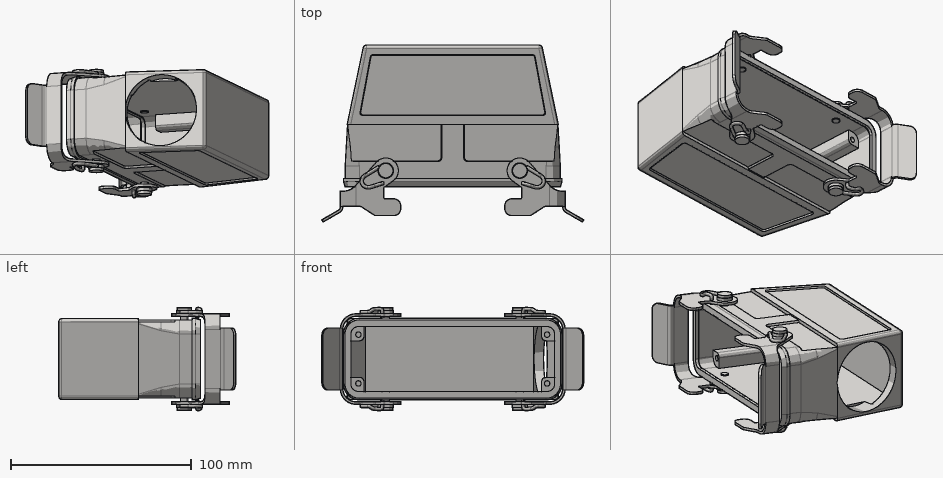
import cadquery as cq
import math


hood_height = 78.6
step_y = 34.5
block_half_z = 22.5
block_base_half_x = 58.5
block_top_half_x = 49.3
block_edge_radius = 2.0
skirt_half_x = 59.6
skirt_half_z = 21.7
skirt_corner_radius = 7.9
collar_y = 11.7
blend_middle_y = 22.0
blend_middle_radius = 6.0
blend_top_half_x = 58.3
blend_top_radius = 2.2

flange_overhang = 0.9
flange_top_y = 4.8
flange_taper_y = 2.9

mouth_half_x = 56.4
mouth_half_z = 18.0
mouth_corner_radius = 4.3
mouth_lip = 2.0
lip_undercut = 0.6
cavity_half_x = mouth_half_x + lip_undercut
cavity_half_z = mouth_half_z + lip_undercut
cavity_corner_radius = mouth_corner_radius + lip_undercut
cavity_end_y = 75.0
cavity_end_left_x = -48.2
cavity_end_right_x = 44.6
entry_ledge_y = 33.0
entry_ledge_x = 52.3
entry_diameter = 40.0
entry_center_y = 54.0
entry_reach = 12.0
post_inner_x = 49.2
post_inner_z = 10.1
post_corner_radius = 2.4
post_start_y = 11.0
screw_x = 52.2
screw_z = 13.5
screw_diameter = 3.0
screw_depth = 15.0

pad_floor_z = 20.5
pad_inner_x = 6.5
pad_start_y = 14.4
pad_corner_radius = 2.0
panel_depth = 1.0
panel_low_y = 39.9
panel_high_y = 72.9
panel_low_half_x = 51.2
panel_high_half_x = 45.1
panel_corner_radius = 1.2
recess_draft = 20.0

sheet = 1.5
lever_half_z = 25.1
lever_end_x = -62.3
lever_corner_radius = 8.8
pivot_x = -37.1
pivot_y = 9.05
eye_radius = 7.0
bail_low_y = -10.7
bail_high_y = -2.3
hook_low_y = -15.9
hook_high_y = -6.5
hook_tip_x = -28.7
hook_tip_radius = 4.0
hook_back_x = -43.1
hook_back_radius = 1.5
cheek_low_x = -51.0
cheek_low_radius = 3.0
cheek_high_x = -53.5
cheek_high_y = 1.1
eye_entry_angle = math.radians(135)
eye_exit_angle = math.radians(-58)
throat_top_y = -0.3
throat_x = -38.1
throat_radius = 0.7
tab_half_z = 17.2
tab_end_x = -72.51
tab_end_y = -19.46
tab_angle = math.radians(30)
tab_corner_radius = 4.0
tab_bend_radius = 2.2

pin_diameter = 4.3
pin_inner_z = 18.0
pin_seat_diameter = 8.6
pin_seat_top_z = 26.85
pin_head_diameter = 8.0
pin_head_top_z = 28.4
wire_diameter = 1.97
wire_radius = wire_diameter / 2
wire_seat_depth = 0.1
wire_low_z = lever_half_z + wire_radius - wire_seat_depth
wire_high_z = 27.57
wire_tip_z = 22.75
wire_start = (-40.7, 11.1)
wire_turn_start = (-48.8, 6.1)
wire_turn_end = (-47.2, -0.1)
wire_hump = (-43.2, 0.7)
wire_drop = (-38.9, 2.0)


def rounded_bar(half_x, half_z, radius, y_start, y_end):
    """Bar along Y with a rounded rectangular section."""
    bar = cq.Workplane("XY").box(2 * half_x, y_end - y_start, 2 * half_z)
    return bar.edges("|Y").fillet(radius).translate((0, (y_start + y_end) / 2, 0))


def blend(lower, upper):
    """Straight blend between two sections, each given as (y, half_x, half_z, corner radius)."""
    sketches = []
    for y, half_x, half_z, radius in (lower, upper):
        sketch = cq.Sketch().rect(2 * half_x, 2 * half_z).vertices().fillet(radius)
        sketches.append(sketch.moved(cq.Location(cq.Vector(0, 0, -y))))
    return cq.Workplane("XZ").placeSketch(*sketches).loft(ruled=True)


def slab(points, z_low, z_high):
    """Closed outline in the XY plane, extruded between two heights."""
    return cq.Workplane("XY", origin=(0, 0, z_low)).polyline(points).close().extrude(z_high - z_low)


def both_z(body):
    return body.union(body.mirror("XY"))


def both_x(body):
    return body.union(body.mirror("YZ"))


def make_upper_block():
    outline = [
        (-block_base_half_x, step_y),
        (block_base_half_x, step_y),
        (block_top_half_x, hood_height),
        (-block_top_half_x, hood_height),
    ]
    block = slab(outline, -block_half_z, block_half_z)
    return block.edges("not <Y").fillet(block_edge_radius)


def make_skirt():
    foot = (collar_y, skirt_half_x, skirt_half_z, skirt_corner_radius)
    middle_fraction = (blend_middle_y - collar_y) / (step_y - collar_y)
    middle_half_x = skirt_half_x + middle_fraction * (blend_top_half_x - skirt_half_x)
    middle = (blend_middle_y, middle_half_x, skirt_half_z, blend_middle_radius)
    top = (step_y, blend_top_half_x, skirt_half_z, blend_top_radius)
    collar = rounded_bar(skirt_half_x, skirt_half_z, skirt_corner_radius, 0, collar_y)
    return collar.union(blend(foot, middle)).union(blend(middle, top))


def make_flange():
    half_x = skirt_half_x + flange_overhang
    half_z = skirt_half_z + flange_overhang
    radius = skirt_corner_radius + flange_overhang
    face = (0, skirt_half_x, skirt_half_z, skirt_corner_radius)
    rim = (flange_taper_y, half_x, half_z, radius)
    return blend(face, rim).union(rounded_bar(half_x, half_z, radius, flange_taper_y, flange_top_y))


def make_cavity():
    """Mouth and inner space with sloping end walls and the four screw posts left standing in its corners."""
    outline = [
        (-cavity_half_x, mouth_lip),
        (cavity_half_x, mouth_lip),
        (cavity_half_x, entry_ledge_y),
        (entry_ledge_x, entry_ledge_y),
        (cavity_end_right_x, cavity_end_y),
        (cavity_end_left_x, cavity_end_y),
        (-cavity_half_x, entry_ledge_y),
    ]
    space = slab(outline, -cavity_half_z, cavity_half_z)
    space = space.intersect(
        rounded_bar(cavity_half_x, cavity_half_z, cavity_corner_radius, mouth_lip, cavity_end_y)
    )
    post = cq.Workplane("XY").box(
        cavity_half_x - post_inner_x,
        cavity_end_y - post_start_y,
        cavity_half_z - post_inner_z,
        centered=False,
    )
    post = post.edges("|Y and <X and <Z").fillet(post_corner_radius)
    post = post.translate((post_inner_x, post_start_y, post_inner_z))
    mouth = rounded_bar(mouth_half_x, mouth_half_z, mouth_corner_radius, 0, mouth_lip)
    return space.cut(both_x(both_z(post))).union(mouth)


def make_screw_holes():
    hole = cq.Workplane("XZ", origin=(screw_x, post_start_y, screw_z))
    hole = hole.circle(screw_diameter / 2).extrude(-screw_depth)
    return both_x(both_z(hole))


def make_cable_entry():
    """Round opening square to the sloping +X wall."""
    rise = hood_height - step_y
    run = block_base_half_x - block_top_half_x
    wall_x = block_base_half_x - run * (entry_center_y - step_y) / rise
    plane = cq.Plane(origin=(wall_x, entry_center_y, 0), xDir=(0, 0, 1), normal=(rise, run, 0))
    return cq.Workplane(plane).circle(entry_diameter / 2).extrude(entry_reach, both=True)


def make_recess(points, corner_radius, floor_z, mouth_z):
    """Drafted recess on both broad faces, outlined at its floor and widening toward its mouth."""
    outline = cq.Sketch().polygon(points + points[:1]).vertices().fillet(corner_radius)
    recess = cq.Workplane("XY", origin=(0, 0, floor_z)).placeSketch(outline)
    return both_z(recess.extrude(mouth_z - floor_z, taper=-recess_draft))


def make_pads():
    """Flats beside the levers; they run out through the ends and the top of the skirt."""
    outer_x = skirt_half_x + pad_corner_radius
    outer_y = step_y + pad_corner_radius
    outline = [
        (pad_inner_x, pad_start_y),
        (outer_x, pad_start_y),
        (outer_x, outer_y),
        (pad_inner_x, outer_y),
    ]
    return both_x(make_recess(outline, pad_corner_radius, pad_floor_z, skirt_half_z))


def make_panels():
    """Shallow trapezoid panels on the two broad faces of the upper block."""
    outline = [
        (-panel_low_half_x, panel_low_y),
        (panel_low_half_x, panel_low_y),
        (panel_high_half_x, panel_high_y),
        (-panel_high_half_x, panel_high_y),
    ]
    return make_recess(outline, panel_corner_radius, block_half_z - panel_depth, block_half_z)


def make_hood():
    skirt = make_skirt().cut(make_pads())
    shell = make_upper_block().cut(make_panels()).union(skirt).union(make_flange())
    return shell.cut(make_cavity()).cut(make_screw_holes()).cut(make_cable_entry())


def eye_point(angle):
    return (pivot_x + eye_radius * math.cos(angle), pivot_y + eye_radius * math.sin(angle))


def make_lever_outline():
    """Solid with the lever's side outline: pivot eye, hook and bail."""
    body = (
        cq.Workplane("XY", origin=(0, 0, -lever_half_z))
        .moveTo(lever_end_x, bail_low_y)
        .lineTo(lever_end_x, bail_high_y)
        .lineTo(lever_end_x + sheet, bail_high_y)
        .tangentArcPoint((cheek_high_x, cheek_high_y), relative=False)
        .lineTo(*eye_point(eye_entry_angle))
        .threePointArc(eye_point((eye_entry_angle + eye_exit_angle) / 2), eye_point(eye_exit_angle))
        .lineTo(throat_x, throat_top_y)
        .lineTo(throat_x, hook_high_y)
        .lineTo(hook_tip_x, hook_high_y)
        .lineTo(hook_tip_x, hook_low_y)
        .lineTo(hook_back_x, hook_low_y)
        .lineTo(cheek_low_x, bail_low_y)
        .close()
        .extrude(2 * lever_half_z)
    )
    rounded_corners = [
        (throat_x, throat_top_y, throat_radius),
        (throat_x, hook_high_y, throat_radius),
        (hook_tip_x, hook_high_y, hook_tip_radius),
        (hook_tip_x, hook_low_y, hook_tip_radius),
        (hook_back_x, hook_low_y, hook_back_radius),
        (cheek_low_x, bail_low_y, cheek_low_radius),
    ]
    for x, y, radius in rounded_corners:
        body = body.edges("|Z").edges(cq.NearestToPointSelector((x, y, 0))).fillet(radius)
    return body


def make_tab():
    """Finger tab bent outward from the bail."""
    slope = math.tan(tab_angle)
    along_x = math.cos(tab_angle)
    along_y = math.sin(tab_angle)
    tab_turn = math.pi / 2 - tab_angle
    end_dx = sheet * along_y
    end_dy = sheet * along_x
    inner_x = lever_end_x + sheet
    outer_bend_y = tab_end_y + end_dy + slope * (lever_end_x - tab_end_x)
    inner_bend_y = tab_end_y + slope * (inner_x - tab_end_x - end_dx)
    outer_reach = tab_bend_radius * math.tan(tab_turn / 2)
    inner_reach = (tab_bend_radius + sheet) * math.tan(tab_turn / 2)
    tab = (
        cq.Workplane("XY", origin=(0, 0, -tab_half_z))
        .moveTo(lever_end_x, bail_low_y)
        .lineTo(lever_end_x, outer_bend_y + outer_reach)
        .tangentArcPoint((-outer_reach * along_x, -outer_reach * (1 + along_y)))
        .lineTo(tab_end_x, tab_end_y + end_dy)
        .lineTo(tab_end_x + end_dx, tab_end_y)
        .lineTo(inner_x - inner_reach * along_x, inner_bend_y - inner_reach * along_y)
        .tangentArcPoint((inner_reach * along_x, inner_reach * (1 + along_y)))
        .lineTo(inner_x, bail_low_y)
        .close()
        .extrude(2 * tab_half_z)
    )
    end_corners = tab.faces("<X").edges("not |Z")
    return end_corners.fillet(tab_corner_radius)


def make_lever():
    half_x = -lever_end_x
    y_range = (hook_low_y, pivot_y + eye_radius)
    outside = rounded_bar(half_x, lever_half_z, lever_corner_radius, *y_range)
    inside = rounded_bar(half_x - sheet, lever_half_z - sheet, lever_corner_radius - sheet, *y_range)
    strap = outside.cut(inside)
    return strap.intersect(make_lever_outline()).union(make_tab())


def make_pin():
    pin = cq.Workplane("XY", origin=(pivot_x, pivot_y, pin_inner_z))
    pin = pin.circle(pin_diameter / 2).extrude(pin_head_top_z - pin_inner_z)
    for diameter, z_low, z_high in (
        (pin_seat_diameter, lever_half_z, pin_seat_top_z),
        (pin_head_diameter, pin_seat_top_z, pin_head_top_z),
    ):
        disc = cq.Workplane("XY", origin=(pivot_x, pivot_y, z_low)).circle(diameter / 2)
        pin = pin.union(disc.extrude(z_high - z_low))
    return pin


def make_wire():
    """Retaining wire: straight leg from the pin, a round turn, then a humped leg hooked into the lever."""
    start = cq.Vector(*wire_start, wire_low_z)
    turn_start = cq.Vector(*wire_turn_start, wire_low_z)
    turn_end = cq.Vector(*wire_turn_end, wire_low_z)
    hump = cq.Vector(*wire_hump, wire_high_z)
    drop = cq.Vector(*wire_drop, wire_low_z)
    tip = cq.Vector(*wire_drop, wire_tip_z)
    leg = cq.Edge.makeLine(start, turn_start)
    turn = cq.Edge.makeTangentArc(turn_start, turn_start - start, turn_end)
    along = cq.Vector(drop.x - hump.x, drop.y - hump.y, 0)
    down = cq.Vector(0, 0, -1)
    rise = cq.Edge.makeSpline([turn_end, hump], tangents=[turn.tangentAt(1), along])
    fall = cq.Edge.makeSpline([hump, drop], tangents=[along, down])
    hook = cq.Edge.makeLine(drop, tip)
    path = cq.Wire.assembleEdges([leg, turn, rise, fall, hook])
    section = cq.Workplane(cq.Plane(origin=start, normal=turn_start - start)).circle(wire_radius)
    return section.sweep(cq.Workplane(path))


def make_lever_assembly():
    return make_lever().union(both_z(make_pin())).union(both_z(make_wire()))


result = make_hood().union(both_x(make_lever_assembly()))